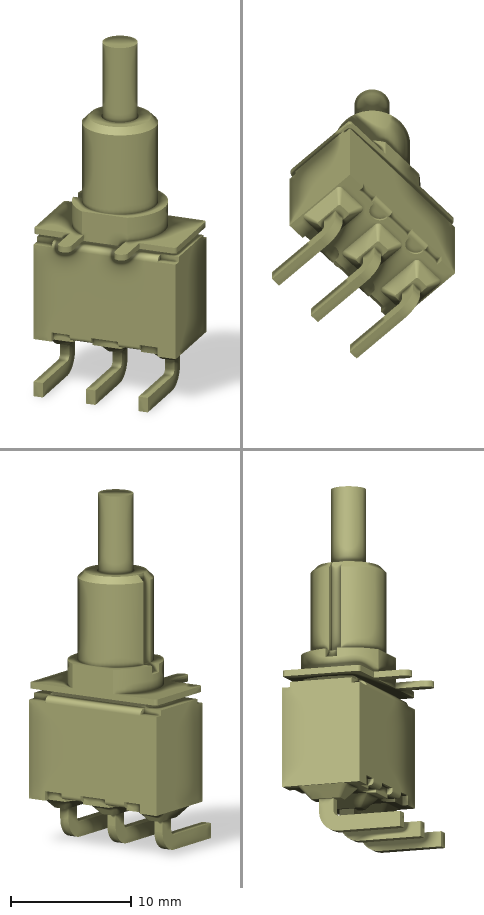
import cadquery as cq
import math

total_height = 29.9
body_length = 12.7
body_width = 6.9
overall_depth = 10.05
half_width = body_width / 2
terminal_reach = overall_depth - half_width
sheet = 0.5

epoxy_bottom = 2.78
case_bottom = 3.8
frame_bottom = 4.6
case_shoulder = 12.2
case_top = 12.65
bracket_bottom = 13.15
bracket_top = bracket_bottom + sheet
collar_top = 15.75
bushing_top = 23.33

plunger_diameter = 2.93
bore_diameter = 3.1
bore_floor = collar_top

bushing_diameter = 6.35
bushing_chamfer = 0.55
collar_diameter = 8.02
keyway_width = 1.05
keyway_floor_x = -2.48
runout_start_x = -3.0
runout_depth = 0.72

bracket_corner = 0.27
tab_spacing = 5.02
tab_width = 1.2

rib_width = 5.5
frame_length = 9.48
frame_edge_radius = 0.55
clip_spacing = 4.35
clip_positions = (-clip_spacing / 2, clip_spacing / 2)
long_sides = (-1, 1)
clip_width = 1.9
clip_bottom = 4.07
clip_bend = 0.35
clip_relief_radius = 0.87

boss_top_radius = 5.05
boss_base_radius = 5.5
boss_half_width = 2.65
boss_chamfer = 0.45
boss_round = 0.6

terminal_count = 3
terminal_pitch = 4.7
terminal_width = 0.85
terminal_thickness = 1.3
terminal_bend = 0.45
seal_top_size = (3.05, 4.3)
seal_top_corner = 0.35
seal_bottom_size = (1.25, 2.6)
seal_bottom_corner = 0.18


def block(length, width, bottom, top):
    """Box centred on the plunger axis between two heights."""
    return cq.Workplane("XY", origin=(0, 0, bottom)).rect(length, width).extrude(top - bottom)


def cylinder(diameter, bottom, top):
    """Upright cylinder on the plunger axis between two heights."""
    return cq.Workplane("XY", origin=(0, 0, bottom)).circle(diameter / 2).extrude(top - bottom)


def make_clip_relief(x, side):
    """Half-round notch in the case under a bent clip."""
    return (
        cq.Workplane("XY", origin=(x, side * (half_width - sheet), case_bottom))
        .circle(clip_relief_radius)
        .extrude(clip_bottom - case_bottom)
    )


def make_case():
    """Plastic case: end walls with a raised rib, thinned where the frame wraps its long sides."""
    case = block(body_length, body_width, case_bottom, case_shoulder)
    rib = block(body_length, rib_width, case_shoulder, case_top)
    inner_width = body_width - 2 * sheet
    frame_space = block(frame_length, body_width, case_bottom, case_shoulder).cut(
        block(frame_length, inner_width, case_bottom, case_shoulder)
    )
    case = case.union(rib, clean=False).cut(frame_space, clean=False)
    for x in clip_positions:
        for side in long_sides:
            case = case.cut(make_clip_relief(x, side), clean=False)
    return case


def make_clip(x, side):
    """Tab of the frame bent under the case; side is -1 for the -Y face and +1 for the +Y face."""
    clip = (
        cq.Workplane("XY", origin=(x, side * (half_width - sheet / 2), clip_bottom))
        .rect(clip_width, sheet)
        .extrude(frame_bottom - clip_bottom)
    )
    outer_face = ">Y" if side > 0 else "<Y"
    return clip.edges(f"|X and <Z and {outer_face}").fillet(clip_bend)


def make_frame():
    """Sheet-metal frame over the case, with rounded upper long edges and bent clips."""
    frame = block(frame_length, body_width, frame_bottom, case_top)
    frame = frame.edges(">Z and |X").fillet(frame_edge_radius)
    for x in clip_positions:
        for side in long_sides:
            frame = frame.union(make_clip(x, side))
    return frame


def make_boss():
    """Tapered round boss, cut to a narrow strip with a rounded -Y edge and a chamfered +Y edge."""
    boss = (
        cq.Workplane("XZ")
        .moveTo(0, case_top)
        .lineTo(boss_base_radius, case_top)
        .lineTo(boss_top_radius, bracket_bottom)
        .lineTo(0, bracket_bottom)
        .close()
        .revolve(360, (0, 0, 0), (0, 1, 0))
    )
    strip = block(body_length, 2 * boss_half_width, case_shoulder, bracket_bottom)
    strip = strip.edges("|X and >Z and <Y").fillet(boss_round)
    strip = strip.edges("|X and >Z and >Y").chamfer(boss_chamfer)
    return boss.intersect(strip)


def make_bracket():
    """Mounting plate with two round-ended tabs pointing toward -Y."""
    bracket = block(body_length, body_width, bracket_bottom, bracket_top)
    bracket = bracket.edges("|Z").fillet(bracket_corner)
    tip_centre_y = tab_width / 2 - terminal_reach
    for x in (-tab_spacing / 2, tab_spacing / 2):
        tab = (
            cq.Workplane("XY", origin=(x, 0, bracket_bottom))
            .moveTo(-tab_width / 2, 0)
            .lineTo(-tab_width / 2, tip_centre_y)
            .threePointArc((0, -terminal_reach), (tab_width / 2, tip_centre_y))
            .lineTo(tab_width / 2, 0)
            .close()
            .extrude(sheet)
        )
        bracket = bracket.union(tab)
    return bracket


def make_keyway():
    """Cutter for the bushing keyway and its curved run-out through the collar."""
    outer_x = -collar_diameter / 2
    run = runout_start_x - outer_x
    arc_radius = (run**2 + runout_depth**2) / (2 * runout_depth)
    middle_x = outer_x + run / 2
    arc_centre_z = collar_top - runout_depth + arc_radius
    middle_z = arc_centre_z - math.sqrt(arc_radius**2 - (run / 2) ** 2)
    return (
        cq.Workplane("XZ")
        .moveTo(keyway_floor_x, bushing_top)
        .lineTo(keyway_floor_x, collar_top)
        .lineTo(runout_start_x, collar_top)
        .threePointArc((middle_x, middle_z), (outer_x, collar_top - runout_depth))
        .lineTo(outer_x, bushing_top)
        .close()
        .extrude(keyway_width / 2, both=True)
    )


def make_bushing():
    """Bushing on a two-flat collar, with the keyway and the plunger bore."""
    collar = cylinder(collar_diameter, bracket_top, collar_top)
    collar = collar.intersect(block(body_length, body_width, bracket_top, collar_top))
    barrel = cylinder(bushing_diameter, collar_top, bushing_top).faces(">Z").chamfer(bushing_chamfer)
    bore = cylinder(bore_diameter, bore_floor, bushing_top)
    return collar.union(barrel).cut(make_keyway()).cut(bore)


def make_terminal(x):
    """Flat terminal that drops from the case and bends toward -Y."""
    half = terminal_thickness / 2
    terminal = (
        cq.Workplane("YZ", origin=(x, 0, 0))
        .moveTo(half, case_bottom)
        .lineTo(half, 0)
        .lineTo(-terminal_reach, 0)
        .lineTo(-terminal_reach, terminal_thickness)
        .lineTo(-half, terminal_thickness)
        .lineTo(-half, case_bottom)
        .close()
        .extrude(terminal_width / 2, both=True)
    )
    inner_corner = cq.NearestToPointSelector((x, -half, terminal_thickness))
    outer_corner = cq.NearestToPointSelector((x, half, 0))
    terminal = terminal.edges("|X").edges(inner_corner).fillet(terminal_bend)
    return terminal.edges("|X").edges(outer_corner).fillet(terminal_bend + terminal_thickness)


def make_seal(x):
    """Tapered epoxy seal with rounded corners around a terminal."""
    sketch_bottom = cq.Sketch().rect(*seal_bottom_size).vertices().fillet(seal_bottom_corner)
    sketch_top = cq.Sketch().rect(*seal_top_size).vertices().fillet(seal_top_corner)
    height = case_bottom - epoxy_bottom
    return (
        cq.Workplane("XY", origin=(x, 0, epoxy_bottom))
        .placeSketch(sketch_bottom, sketch_top.moved(cq.Location(cq.Vector(0, 0, height))))
        .loft()
    )


def make_housing():
    """Switch housing: case, frame, bracket, bushing and terminals as one solid."""
    parts = [make_frame(), make_boss(), make_bracket(), make_bushing()]
    for i in range(terminal_count):
        x = (i - (terminal_count - 1) / 2) * terminal_pitch
        parts.append(make_seal(x))
        parts.append(make_terminal(x))
    housing = make_case()
    for part in parts:
        housing = housing.union(part, clean=False)
    return housing


def make_plunger():
    """Plain round plunger standing on the floor of the bore."""
    return cylinder(plunger_diameter, bore_floor, total_height)


housing = make_housing()
plunger = make_plunger()

result = cq.Compound.makeCompound([housing.val(), plunger.val()])